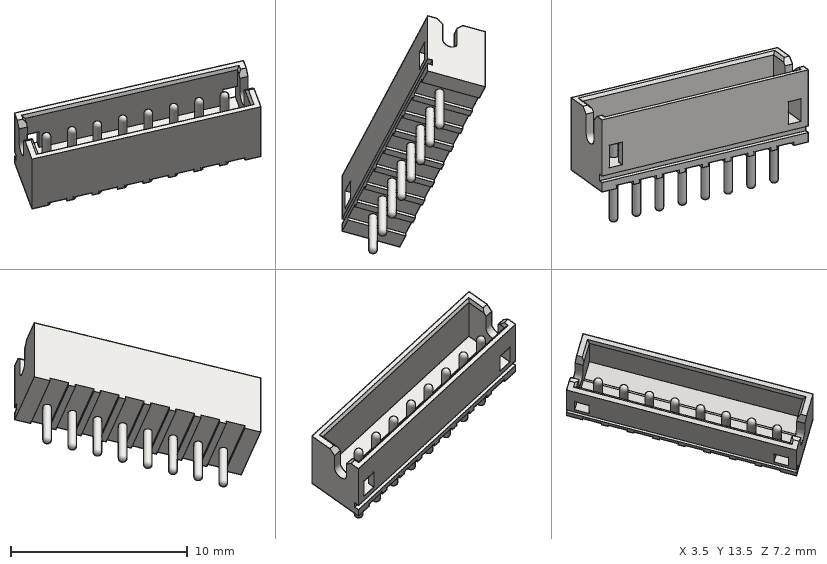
import cadquery as cq


width = 3.5
length = 13.5
height = 4.5
side_wall = 0.4
end_wall = 0.49

high_floor = 1.4
floor_drop = 0.31
slope_start = 1.82
slope_end = 2.02
lead_in_side = 0.14
lead_in_end = 0.15
lead_in_depth = 0.19

pin_count = 8
pin_diameter = 0.5
pin_x = 1.3
pin_top = 3.6
pin_bottom = -2.7

notch_x = 1.35
notch_width = 0.88
notch_bottom = 2.48
notch_chamfer = 0.35

window_height = 1.4
window_length = 0.84

groove_depth = 0.28
groove_bottom = 0.6
groove_height = 0.4
slot_length = 1.11
slot_height = 0.2

pin_pitch = length / (pin_count + 1)
inner_length = length - 2 * end_wall
far_wall_x = width - side_wall
pin_positions = [(i - (pin_count - 1) / 2) * pin_pitch for i in range(pin_count)]


def block(x_start, x_end, y_centre, y_length, z_start, z_end):
    """Axis-aligned box between X and Z limits, centred on a Y position."""
    size = (x_end - x_start, y_length, z_end - z_start)
    box = cq.Workplane("XY").box(*size, centered=(False, True, False))
    return box.translate((x_start, y_centre, z_start))


def cavity():
    """Open-topped cavity with its two-level floor."""
    low_floor = high_floor - floor_drop
    profile = (
        cq.Workplane("XZ", origin=(0, inner_length / 2, 0))
        .moveTo(side_wall, height)
        .lineTo(side_wall, high_floor)
        .lineTo(slope_start, high_floor)
        .lineTo(slope_end, low_floor)
        .lineTo(far_wall_x, low_floor)
        .lineTo(far_wall_x, height)
        .close()
    )
    return profile.extrude(inner_length)


def lead_in():
    """Flared rim that widens the cavity mouth towards the top."""
    mouth_width = width - 2 * side_wall
    return (
        cq.Workplane("XY", origin=(width / 2, 0, height - lead_in_depth))
        .rect(mouth_width, inner_length)
        .workplane(offset=lead_in_depth)
        .rect(mouth_width + 2 * lead_in_side, inner_length + 2 * lead_in_end)
        .loft(ruled=True)
    )


def end_notches():
    """Round-bottomed notch with a chamfered mouth, running through both end walls."""
    radius = notch_width / 2
    arc_z = notch_bottom + radius
    left = notch_x - radius
    right = notch_x + radius
    profile = (
        cq.Workplane("XZ", origin=(0, length / 2, 0))
        .moveTo(left - notch_chamfer, height)
        .lineTo(left, height - notch_chamfer)
        .lineTo(left, arc_z)
        .threePointArc((notch_x, notch_bottom), (right, arc_z))
        .lineTo(right, height - notch_chamfer)
        .lineTo(right + notch_chamfer, height)
        .close()
    )
    return profile.extrude(length)


def pin(y):
    """Straight round pin with a hemispherical tip at each end."""
    radius = pin_diameter / 2
    profile = (
        cq.Workplane("XZ", origin=(pin_x, y, 0))
        .moveTo(0, pin_bottom)
        .radiusArc((radius, pin_bottom + radius), -radius)
        .lineTo(radius, pin_top - radius)
        .radiusArc((0, pin_top), -radius)
        .close()
    )
    return profile.revolve(360, (0, 0, 0), (0, 1, 0))


housing = block(0, width, 0, length, 0, height)
housing = housing.cut(cavity()).cut(lead_in()).cut(end_notches())

window_top = high_floor + window_height
window_offset = (inner_length - window_length) / 2
for window_y in (-window_offset, window_offset):
    housing = housing.cut(block(0, side_wall, window_y, window_length, high_floor, window_top))

groove = block(0, groove_depth, 0, length, groove_bottom, groove_bottom + groove_height)
housing = housing.cut(groove)

for pin_y in pin_positions:
    housing = housing.cut(block(0, width, pin_y, slot_length, 0, slot_height))

result = housing
for pin_y in pin_positions:
    result = result.union(pin(pin_y))